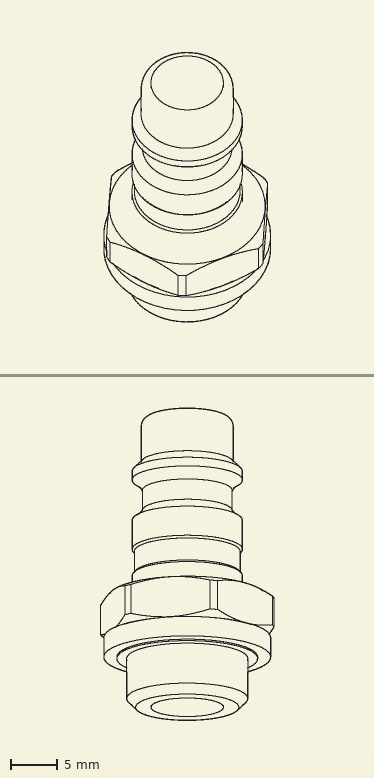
import cadquery as cq
import math

bore_diameter = 7.85
tip_diameter = 10.0
neck_diameter = 9.75
collar_diameter = 12.0
groove_diameter = 11.5
thread_diameter = 13.15
spacer_diameter = 15.3
washer_diameter = 18.15

total_height = 32.5
thread_chamfer = 0.98
thread_top = 5.45
washer_bottom = 5.62
washer_top = 7.8
hex_bottom = 7.95
hex_top = 12.48
groove_bottom = 15.0
groove_top = 17.5
shoulder_top = 21.0
neck_bottom = 22.07
neck_top = 24.35
barb_bottom = 25.5
barb_top = 26.5

tip_fillet = 1.0
base_fillet = 0.75
groove_chamfer = (collar_diameter - groove_diameter) / 2
neck_flare_radius = 2.28
barb_rise = (collar_diameter - tip_diameter) / 2

hex_across_flats = 17.0
hex_corner_diameter = 19.15
hex_face_diameter = 16.93
hex_chamfer_angle = 30.0


def make_turned_body():
    """Revolve the outer profile, from the threaded end up to the rounded tip."""
    bore = bore_diameter / 2
    tip = tip_diameter / 2
    neck = neck_diameter / 2
    collar = collar_diameter / 2
    groove = groove_diameter / 2
    thread = thread_diameter / 2
    spacer = spacer_diameter / 2
    washer = washer_diameter / 2
    arc_inset = 1 - math.sqrt(0.5)

    profile = (
        cq.Workplane("XZ")
        .moveTo(bore, 0)
        .lineTo(thread - thread_chamfer, 0)
        .lineTo(thread, thread_chamfer)
        .lineTo(thread, thread_top)
        .lineTo(spacer, thread_top)
        .lineTo(spacer, washer_bottom)
        .lineTo(washer, washer_bottom)
        .lineTo(washer, washer_top)
        .lineTo(spacer, washer_top)
        .lineTo(spacer, hex_top)
        .lineTo(collar + base_fillet, hex_top)
        .threePointArc(
            (collar + base_fillet * arc_inset, hex_top + base_fillet * arc_inset),
            (collar, hex_top + base_fillet),
        )
        .lineTo(collar, groove_bottom - groove_chamfer)
        .lineTo(groove, groove_bottom)
        .lineTo(groove, groove_top)
        .lineTo(collar, groove_top + groove_chamfer)
        .lineTo(collar, shoulder_top)
        .radiusArc((neck, neck_bottom), neck_flare_radius)
        .lineTo(neck, neck_top)
        .radiusArc((collar, barb_bottom), neck_flare_radius)
        .lineTo(collar, barb_top)
        .lineTo(tip, barb_top + barb_rise)
        .lineTo(tip, total_height - tip_fillet)
        .threePointArc(
            (tip - tip_fillet * arc_inset, total_height - tip_fillet * arc_inset),
            (tip - tip_fillet, total_height),
        )
        .lineTo(bore, total_height)
        .close()
    )
    return profile.revolve(360, (0, 0), (0, 1))


def make_hexagon():
    """Hexagon with corners on Y, cut to a cylinder and coned at both ends, with the bore."""
    height = hex_top - hex_bottom
    corner = hex_corner_diameter / 2
    face = hex_face_diameter / 2
    cone_height = (corner - face) * math.tan(math.radians(hex_chamfer_angle))

    prism = (
        cq.Workplane("XY", origin=(0, 0, hex_bottom))
        .transformed(rotate=(0, 0, 90))
        .polygon(6, hex_across_flats / math.cos(math.pi / 6))
        .extrude(height)
    )
    envelope = (
        cq.Workplane("XY", origin=(0, 0, hex_bottom))
        .circle(corner)
        .extrude(height)
        .edges()
        .chamfer(cone_height, corner - face)
    )
    bore = cq.Workplane("XY").circle(bore_diameter / 2).extrude(total_height)
    return prism.intersect(envelope).cut(bore)


result = make_turned_body().union(make_hexagon())